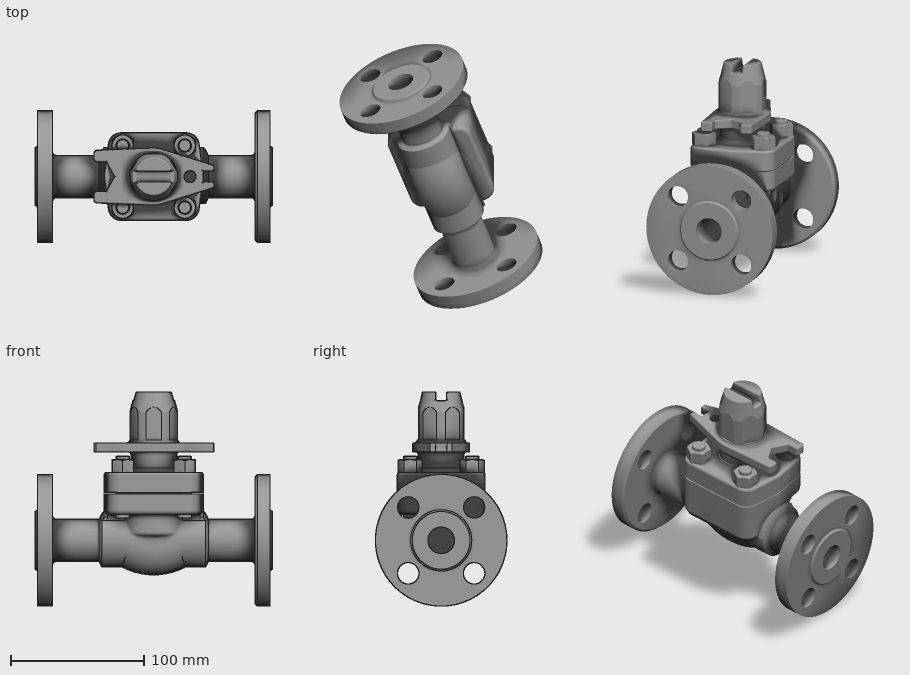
import cadquery as cq
import math

OVERALL_LENGTH = 178.0
PIPE_RADIUS = 16.0
BORE_DIA = 20.0
BORE_DEPTH = 50.0
FLANGE_RADIUS = 49.5
FLANGE_THICKNESS = 11.4
FLANGE_CHAMFER = 1.8
FLANGE_HOLE_DIA = 16.0
FLANGE_HOLE_OFFSET = 24.75
RAISED_FACE_HEIGHT = 1.6
RAISED_FACE_RADIUS = 23.0
RAISED_FACE_TOP_RADIUS = 21.7
HUB_FILLET = 2.8

BODY_RADIUS = 20.2
BODY_HALF_LENGTH = 41.0
BODY_END_TAPER = 2.2
BULGE_DEPTH = 26.0
BULGE_SWEEP_RADIUS = 30.0
NECK_RADIUS = 25.5
NECK_BOTTOM_Z = 3.2
NECK_EDGE_FILLET = 3.0
NECK_BODY_FILLET = 2.2
NECK_FILLET = 3.0
PAD_HALF_LENGTH = 34.7
PAD_HALF_WIDTH = 13.8
SADDLE_HEIGHT = 2.0

BONNET_HALF_WIDTH = 33.0
BONNET_SIDE_X = 37.2
BONNET_CORNER_X = 33.0
BONNET_CORNER_RADIUS = 10.0
BONNET_BOTTOM_Z = 19.5
BONNET_REAR_BOTTOM_Z = 3.7
BONNET_SPLIT_Z = 34.8
BONNET_TOP_Z = 51.1
GASKET_THICKNESS = 1.2
BONNET_TOP_FILLET = 2.0
BONNET_BOTTOM_FILLET = 3.0

STUD_OFFSET = 23.3
STUD_DIA = 10.0
STUD_BOTTOM_Z = 16.8
STUD_TOP_Z = 63.4
STUD_CHAMFER = 0.6
NUT_ACROSS_FLATS = 16.0
NUT_HEIGHT = 9.5
NUT_CHAMFER_DROP = 0.7

STEM_RADIUS = 17.3
STEM_FOOT_RADIUS = 18.2
STEM_FOOT_FILLET = 3.4
STEM_TOP_FILLET = 1.4
PLATE_BOTTOM_Z = 66.2
PLATE_THICKNESS = 7.0
PLATE_EDGE_FILLET = 0.9
PLATE_HUB_RADIUS = 21.4
PLATE_LEFT_X = -45.0
PLATE_LEFT_HALF_WIDTH = 19.8
PLATE_RIGHT_X = 45.2
PLATE_RIGHT_HALF_WIDTH = 8.3
PLATE_TIP_CHAMFER = 1.5
V_NOTCH_HALF_WIDTH = 11.1
V_NOTCH_SHOULDER_X = -35.5
V_NOTCH_POINT_X = -29.4
SLOT_NOTCH_HALF_WIDTH = 4.2
SLOT_NOTCH_X = 37.0
PLATE_HOLE_X = 27.2
PLATE_HOLE_DIA = 9.0
KNOB_RADIUS = 18.0
KNOB_BASE_FILLET = 2.3
KNOB_CONE_Z = 96.2
KNOB_TOP_Z = 111.5
KNOB_TOP_RADIUS = 14.1
KNOB_TOP_FILLET = 1.0
KNOB_FLAT_DISTANCE = 17.0
KNOB_FLAT_COUNT = 6
DRIVER_SLOT_WIDTH = 8.0
DRIVER_SLOT_DEPTH = 6.5
DRIVER_SLOT_FILLET = 1.0
DRIVER_SLOT_END_FILLET = 0.8

FACE_X = OVERALL_LENGTH / 2
FLANGE_OUTER_X = FACE_X - RAISED_FACE_HEIGHT
FLANGE_INNER_X = FLANGE_OUTER_X - FLANGE_THICKNESS
PLATE_TOP_Z = PLATE_BOTTOM_Z + PLATE_THICKNESS
ARC_MID = math.sqrt(0.5)


def concave_flare(radius, fillet, seat_z, direction):
    """Disc whose rim curves from a wide seat at seat_z to the given radius, up (+1) or down (-1)."""
    narrow_z = seat_z + direction * fillet
    return (
        cq.Workplane("XZ")
        .moveTo(0, seat_z)
        .lineTo(radius + fillet, seat_z)
        .threePointArc(
            (radius + fillet * (1 - ARC_MID), seat_z + direction * fillet * (1 - ARC_MID)),
            (radius, narrow_z),
        )
        .lineTo(0, narrow_z)
        .close()
        .revolve(360, (0, 0, 0), (0, 1, 0))
    )


def pipe_end():
    """Pipe stub on the +X side with hub fillet, drilled flange and raised face."""
    solid = (
        cq.Workplane("XY")
        .moveTo(0, 0)
        .lineTo(0, PIPE_RADIUS)
        .lineTo(FLANGE_INNER_X - HUB_FILLET, PIPE_RADIUS)
        .threePointArc(
            (FLANGE_INNER_X - HUB_FILLET * (1 - ARC_MID), PIPE_RADIUS + HUB_FILLET * (1 - ARC_MID)),
            (FLANGE_INNER_X, PIPE_RADIUS + HUB_FILLET),
        )
        .lineTo(FLANGE_INNER_X, FLANGE_RADIUS)
        .lineTo(FLANGE_OUTER_X, FLANGE_RADIUS)
        .lineTo(FLANGE_OUTER_X, RAISED_FACE_RADIUS)
        .lineTo(FACE_X, RAISED_FACE_TOP_RADIUS)
        .lineTo(FACE_X, 0)
        .close()
        .revolve(360, (0, 0, 0), (1, 0, 0))
    )
    holes = (
        cq.Workplane("YZ", origin=(FLANGE_INNER_X, 0, 0))
        .rect(2 * FLANGE_HOLE_OFFSET, 2 * FLANGE_HOLE_OFFSET, forConstruction=True)
        .vertices()
        .circle(FLANGE_HOLE_DIA / 2)
        .extrude(FLANGE_THICKNESS)
    )
    return solid.cut(holes)


def flange_rim_chamfer():
    """Ring that bevels the inner rim of the +X flange."""
    return (
        cq.Workplane("XY")
        .moveTo(FLANGE_INNER_X, FLANGE_RADIUS - FLANGE_CHAMFER)
        .lineTo(FLANGE_INNER_X, FLANGE_RADIUS)
        .lineTo(FLANGE_INNER_X + FLANGE_CHAMFER, FLANGE_RADIUS)
        .close()
        .revolve(360, (0, 0, 0), (1, 0, 0))
    )


def bores():
    """Blind flow bore entering from each flange face."""
    start = FACE_X - BORE_DEPTH
    bore = cq.Workplane("YZ", origin=(start, 0, 0)).circle(BORE_DIA / 2).extrude(BORE_DEPTH)
    return bore.union(bore.mirror("YZ"))


def body_barrel():
    """Cylindrical body with tapered ends."""
    shoulder_x = BODY_HALF_LENGTH - BODY_END_TAPER
    return (
        cq.Workplane("XY")
        .moveTo(-BODY_HALF_LENGTH, 0)
        .lineTo(-BODY_HALF_LENGTH, PIPE_RADIUS)
        .lineTo(-shoulder_x, BODY_RADIUS)
        .lineTo(shoulder_x, BODY_RADIUS)
        .lineTo(BODY_HALF_LENGTH, PIPE_RADIUS)
        .lineTo(BODY_HALF_LENGTH, 0)
        .close()
        .revolve(360, (0, 0, 0), (1, 0, 0))
    )


def body_bulge():
    """Swollen lower half of the body: a U section swept along a shallow arc."""
    section_centre_z = BODY_RADIUS - BULGE_DEPTH
    sweep_centre_z = section_centre_z + BULGE_SWEEP_RADIUS
    swept = (
        cq.Workplane("YZ")
        .moveTo(-BODY_RADIUS, 0)
        .lineTo(-BODY_RADIUS, section_centre_z)
        .threePointArc((0, -BULGE_DEPTH), (BODY_RADIUS, section_centre_z))
        .lineTo(BODY_RADIUS, 0)
        .close()
        .revolve(360, (0, sweep_centre_z, 0), (1, sweep_centre_z, 0))
    )
    lower_half = cq.Workplane("XY", origin=(0, 0, -BULGE_DEPTH)).box(
        2 * BODY_HALF_LENGTH, 2 * BULGE_DEPTH, BULGE_DEPTH, centered=(True, True, False)
    )
    return swept.intersect(lower_half)


def body_with_neck():
    """Body barrel with the round vertical neck blended into it."""
    neck = (
        cq.Workplane("XY", origin=(0, 0, NECK_BOTTOM_Z))
        .circle(NECK_RADIUS)
        .extrude(BONNET_BOTTOM_Z - NECK_BOTTOM_Z)
        .faces("<Z")
        .edges()
        .fillet(NECK_EDGE_FILLET)
    )
    seam_zone = cq.selectors.BoxSelector(
        (-NECK_RADIUS, -BODY_RADIUS, 1.0),
        (NECK_RADIUS, BODY_RADIUS, BONNET_BOTTOM_Z - 1.0),
    )
    return body_barrel().union(neck).edges("%BSPLINE or %LINE").edges(seam_zone).fillet(NECK_BODY_FILLET)


def neck_flare():
    """Concave flare between the neck and the underside of the bonnet."""
    return concave_flare(NECK_RADIUS, NECK_FILLET, BONNET_BOTTOM_Z, -1)


def saddle_pad():
    """Pad along the top of the body, flaring into the underside of the bonnet."""
    fillet_start_z = BONNET_BOTTOM_Z - NECK_FILLET
    arc_y = PAD_HALF_WIDTH + NECK_FILLET * (1 - ARC_MID)
    arc_z = BONNET_BOTTOM_Z - NECK_FILLET * (1 - ARC_MID)
    top_half_width = PAD_HALF_WIDTH + NECK_FILLET
    return (
        cq.Workplane("YZ", origin=(-PAD_HALF_LENGTH, 0, 0))
        .moveTo(-PAD_HALF_WIDTH, 0)
        .lineTo(PAD_HALF_WIDTH, 0)
        .lineTo(PAD_HALF_WIDTH, fillet_start_z)
        .threePointArc((arc_y, arc_z), (top_half_width, BONNET_BOTTOM_Z))
        .lineTo(-top_half_width, BONNET_BOTTOM_Z)
        .threePointArc((-arc_y, arc_z), (-PAD_HALF_WIDTH, fillet_start_z))
        .close()
        .extrude(2 * PAD_HALF_LENGTH)
    )


def saddle_flare():
    """Sloping collar on the +X end of the body, rising against the bonnet end face."""
    shoulder_x = BODY_HALF_LENGTH - BODY_END_TAPER
    flare_radius = BODY_RADIUS + SADDLE_HEIGHT
    collar = (
        cq.Workplane("XY")
        .moveTo(PAD_HALF_LENGTH, 0)
        .lineTo(PAD_HALF_LENGTH, flare_radius)
        .lineTo(BONNET_SIDE_X, flare_radius)
        .lineTo(shoulder_x, BODY_RADIUS)
        .lineTo(shoulder_x, 0)
        .close()
        .revolve(360, (0, 0, 0), (1, 0, 0))
    )
    front_sector = cq.Workplane("XY").box(
        OVERALL_LENGTH, 2 * PAD_HALF_WIDTH, flare_radius, centered=(True, True, False)
    )
    rear_sector = cq.Workplane("XY", origin=(0, 0, BONNET_REAR_BOTTOM_Z)).box(
        OVERALL_LENGTH, flare_radius, flare_radius, centered=(True, False, False)
    )
    return collar.intersect(front_sector.union(rear_sector))


def bonnet_block(bottom_z, top_z):
    """Six-sided block with rounded corners; its end faces are bent at Y = 0."""
    return (
        cq.Workplane("XY", origin=(0, 0, bottom_z))
        .polyline(
            [
                (BONNET_SIDE_X, 0),
                (BONNET_CORNER_X, BONNET_HALF_WIDTH),
                (-BONNET_CORNER_X, BONNET_HALF_WIDTH),
                (-BONNET_SIDE_X, 0),
                (-BONNET_CORNER_X, -BONNET_HALF_WIDTH),
                (BONNET_CORNER_X, -BONNET_HALF_WIDTH),
            ]
        )
        .close()
        .extrude(top_z - bottom_z)
        .edges("|Z and (>Y or <Y)")
        .fillet(BONNET_CORNER_RADIUS)
    )


def bonnet():
    """Lower and upper blocks held apart by the gasket; the lower one is deeper at the rear."""
    upper_bottom_z = BONNET_SPLIT_Z + GASKET_THICKNESS
    lower = bonnet_block(BONNET_BOTTOM_Z, BONNET_SPLIT_Z).faces("<Z").edges().fillet(BONNET_BOTTOM_FILLET)
    rear = bonnet_block(BONNET_REAR_BOTTOM_Z, BONNET_SPLIT_Z).faces("<Z").edges().fillet(BONNET_BOTTOM_FILLET)
    rear_half = cq.Workplane("XY").box(
        2 * BONNET_SIDE_X, BONNET_HALF_WIDTH, BONNET_TOP_Z, centered=(True, False, False)
    )
    lower = lower.union(rear.intersect(rear_half))
    upper = bonnet_block(upper_bottom_z, BONNET_TOP_Z).faces(">Z").edges().fillet(BONNET_TOP_FILLET)
    gasket = (
        cq.Workplane("XY", origin=(0, 0, BONNET_SPLIT_Z)).circle(NECK_RADIUS).extrude(GASKET_THICKNESS)
    )
    return lower.union(gasket).union(upper)


def stud_and_nut(x, y):
    """Vertical stud through the bonnet with a chamfered hexagon nut on top."""
    stud = (
        cq.Workplane("XY", origin=(x, y, STUD_BOTTOM_Z))
        .circle(STUD_DIA / 2)
        .extrude(STUD_TOP_Z - STUD_BOTTOM_Z)
        .faces(">Z")
        .chamfer(STUD_CHAMFER)
    )
    corner_radius = NUT_ACROSS_FLATS / math.sqrt(3)
    nut = (
        cq.Workplane("XY", origin=(x, y, BONNET_TOP_Z))
        .transformed(rotate=(0, 0, 90))
        .polygon(6, 2 * corner_radius)
        .extrude(NUT_HEIGHT)
    )
    chamfer_width = corner_radius - NUT_ACROSS_FLATS / 2
    envelope = (
        cq.Workplane("XY", origin=(x, y, BONNET_TOP_Z))
        .circle(corner_radius)
        .extrude(NUT_HEIGHT)
        .faces(">Z")
        .chamfer(NUT_CHAMFER_DROP, chamfer_width)
    )
    return stud.union(nut.intersect(envelope))


def stem():
    """Round stem from the bonnet up to the handle plate, flared at both ends."""
    shaft = (
        cq.Workplane("XY", origin=(0, 0, BONNET_TOP_Z))
        .circle(STEM_RADIUS)
        .extrude(PLATE_BOTTOM_Z - BONNET_TOP_Z)
    )
    foot = concave_flare(STEM_FOOT_RADIUS, STEM_FOOT_FILLET, BONNET_TOP_Z, 1)
    head = concave_flare(STEM_RADIUS, STEM_TOP_FILLET, PLATE_BOTTOM_Z, -1)
    return shaft.union(foot).union(head)


def hub_tangent_point(x, y):
    """Point where the line from (x, y) touches the top of the plate hub circle."""
    angle = math.atan2(y, x)
    swing = math.acos(PLATE_HUB_RADIUS / math.hypot(x, y))
    touch = angle + math.copysign(swing, x)
    return PLATE_HUB_RADIUS * math.cos(touch), PLATE_HUB_RADIUS * math.sin(touch)


def handle_plate():
    """Flat pointer plate: V notch on the -X end, square notch and hole on the +X end."""
    left_x, left_y = hub_tangent_point(PLATE_LEFT_X, PLATE_LEFT_HALF_WIDTH)
    right_x, right_y = hub_tangent_point(PLATE_RIGHT_X, PLATE_RIGHT_HALF_WIDTH)
    tip = PLATE_TIP_CHAMFER
    plate = (
        cq.Workplane("XY", origin=(0, 0, PLATE_BOTTOM_Z))
        .moveTo(left_x, left_y)
        .threePointArc((0, PLATE_HUB_RADIUS), (right_x, right_y))
        .lineTo(PLATE_RIGHT_X, PLATE_RIGHT_HALF_WIDTH)
        .lineTo(PLATE_RIGHT_X, SLOT_NOTCH_HALF_WIDTH)
        .lineTo(SLOT_NOTCH_X, SLOT_NOTCH_HALF_WIDTH)
        .lineTo(SLOT_NOTCH_X, -SLOT_NOTCH_HALF_WIDTH)
        .lineTo(PLATE_RIGHT_X, -SLOT_NOTCH_HALF_WIDTH)
        .lineTo(PLATE_RIGHT_X, -PLATE_RIGHT_HALF_WIDTH)
        .lineTo(right_x, -right_y)
        .threePointArc((0, -PLATE_HUB_RADIUS), (left_x, -left_y))
        .lineTo(PLATE_LEFT_X + tip, -PLATE_LEFT_HALF_WIDTH)
        .lineTo(PLATE_LEFT_X, -PLATE_LEFT_HALF_WIDTH + tip)
        .lineTo(PLATE_LEFT_X, -V_NOTCH_HALF_WIDTH - tip)
        .lineTo(PLATE_LEFT_X + tip, -V_NOTCH_HALF_WIDTH)
        .lineTo(V_NOTCH_SHOULDER_X, -V_NOTCH_HALF_WIDTH)
        .lineTo(V_NOTCH_POINT_X, 0)
        .lineTo(V_NOTCH_SHOULDER_X, V_NOTCH_HALF_WIDTH)
        .lineTo(PLATE_LEFT_X + tip, V_NOTCH_HALF_WIDTH)
        .lineTo(PLATE_LEFT_X, V_NOTCH_HALF_WIDTH + tip)
        .lineTo(PLATE_LEFT_X, PLATE_LEFT_HALF_WIDTH - tip)
        .lineTo(PLATE_LEFT_X + tip, PLATE_LEFT_HALF_WIDTH)
        .close()
        .extrude(PLATE_THICKNESS)
        .faces("<Z or >Z")
        .edges()
        .fillet(PLATE_EDGE_FILLET)
    )
    hole = (
        cq.Workplane("XY", origin=(PLATE_HOLE_X, 0, PLATE_BOTTOM_Z))
        .circle(PLATE_HOLE_DIA / 2)
        .extrude(PLATE_THICKNESS)
    )
    return plate.cut(hole)


def knob_turned():
    """Cylinder with a conical, rounded top."""
    return (
        cq.Workplane("XZ")
        .moveTo(0, PLATE_TOP_Z)
        .lineTo(KNOB_RADIUS, PLATE_TOP_Z)
        .lineTo(KNOB_RADIUS, KNOB_CONE_Z)
        .lineTo(KNOB_TOP_RADIUS, KNOB_TOP_Z)
        .lineTo(0, KNOB_TOP_Z)
        .close()
        .revolve(360, (0, 0, 0), (0, 1, 0))
        .faces(">Z")
        .edges()
        .fillet(KNOB_TOP_FILLET)
    )


def driver_slot():
    """Screwdriver slot along X with rounded mouth and rounded floor corners."""
    half = DRIVER_SLOT_WIDTH / 2
    r = DRIVER_SLOT_FILLET
    floor_z = KNOB_TOP_Z - DRIVER_SLOT_DEPTH
    return (
        cq.Workplane("YZ", origin=(-KNOB_RADIUS, 0, 0))
        .moveTo(-half - r, KNOB_TOP_Z)
        .threePointArc((-half - r + r * ARC_MID, KNOB_TOP_Z - r + r * ARC_MID), (-half, KNOB_TOP_Z - r))
        .lineTo(-half, floor_z + r)
        .threePointArc((-half + r - r * ARC_MID, floor_z + r - r * ARC_MID), (-half + r, floor_z))
        .lineTo(half - r, floor_z)
        .threePointArc((half - r + r * ARC_MID, floor_z + r - r * ARC_MID), (half, floor_z + r))
        .lineTo(half, KNOB_TOP_Z - r)
        .threePointArc((half + r - r * ARC_MID, KNOB_TOP_Z - r + r * ARC_MID), (half + r, KNOB_TOP_Z))
        .close()
        .extrude(2 * KNOB_RADIUS)
    )


def knob():
    """Knob with six wrench flats, a flared foot and a driver slot."""
    hexagon = (
        cq.Workplane("XY", origin=(0, 0, PLATE_TOP_Z))
        .polygon(KNOB_FLAT_COUNT, 2 * KNOB_FLAT_DISTANCE / math.cos(math.pi / KNOB_FLAT_COUNT))
        .extrude(KNOB_TOP_Z - PLATE_TOP_Z)
    )
    foot = concave_flare(KNOB_RADIUS, KNOB_BASE_FILLET, PLATE_TOP_Z, 1)
    slotted = knob_turned().intersect(hexagon).union(foot).cut(driver_slot())
    slot_half_width = DRIVER_SLOT_WIDTH / 2
    slot_walls = cq.selectors.BoxSelector(
        (-KNOB_RADIUS, -slot_half_width, KNOB_TOP_Z - DRIVER_SLOT_DEPTH - DRIVER_SLOT_FILLET),
        (KNOB_RADIUS, slot_half_width, KNOB_TOP_Z - KNOB_TOP_FILLET),
    )
    return slotted.edges(slot_walls).edges("not |X").fillet(DRIVER_SLOT_END_FILLET)


result = body_with_neck().union(neck_flare()).union(body_bulge())
for end in (pipe_end().mirror("YZ"), pipe_end().cut(flange_rim_chamfer())):
    result = result.union(end)
for flare in (saddle_flare(), saddle_flare().mirror("YZ")):
    result = result.union(flare)
for feature in (saddle_pad(), bonnet(), stem(), handle_plate(), knob()):
    result = result.union(feature)
for stud_x in (-STUD_OFFSET, STUD_OFFSET):
    for stud_y in (-STUD_OFFSET, STUD_OFFSET):
        result = result.union(stud_and_nut(stud_x, stud_y))
result = result.cut(bores())